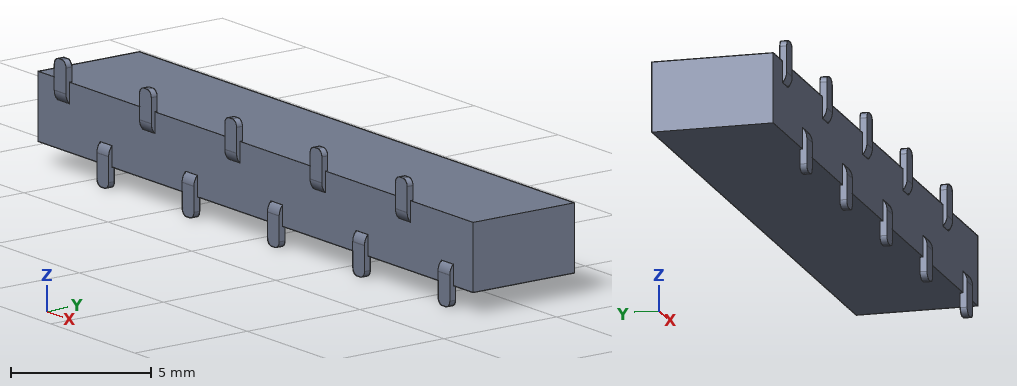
import cadquery as cq
import math

body_length = 25.9
body_height = 2.6
overall_depth = 4.65
overall_height = 4.2

pin_count = 10
pin_pitch = 2.55
pin_width = 0.7
pin_thickness = 0.25
pin_stand_off = 0.15
pin_straight = 1.22
bend_radius = 0.55
tip_radius = 0.25

body_depth = overall_depth - pin_stand_off
pin_tip_z = overall_height / 2


def make_body():
    """Plain block whose front face lies on the plane Y = 0."""
    block = cq.Workplane("XY").box(body_length, body_depth, body_height)
    return block.translate((0, body_depth / 2, 0))


def make_upper_pin():
    """Upward tail centred on X = 0, its outer face bending back into the housing."""
    front_y = -pin_stand_off
    back_y = front_y + pin_thickness
    bend_start_z = pin_tip_z - pin_straight

    bend_angle = math.acos(1 - pin_thickness / bend_radius)
    bend_end_z = bend_start_z - bend_radius * math.sin(bend_angle)
    bend_middle = (
        front_y + bend_radius * (1 - math.cos(bend_angle / 2)),
        bend_start_z - bend_radius * math.sin(bend_angle / 2),
    )

    pin = (
        cq.Workplane("YZ")
        .moveTo(back_y, pin_tip_z)
        .lineTo(front_y, pin_tip_z)
        .lineTo(front_y, bend_start_z)
        .threePointArc(bend_middle, (back_y, bend_end_z))
        .close()
        .extrude(pin_width / 2, both=True)
    )
    return pin.faces(">Z").edges("|Y").fillet(tip_radius)


upper_pin = make_upper_pin()
lower_pin = upper_pin.mirror("XY")

result = make_body()
for index in range(pin_count):
    pin_x = (index - (pin_count - 1) / 2) * pin_pitch
    pin = upper_pin if index % 2 == 0 else lower_pin
    result = result.union(pin.translate((pin_x, 0, 0)))